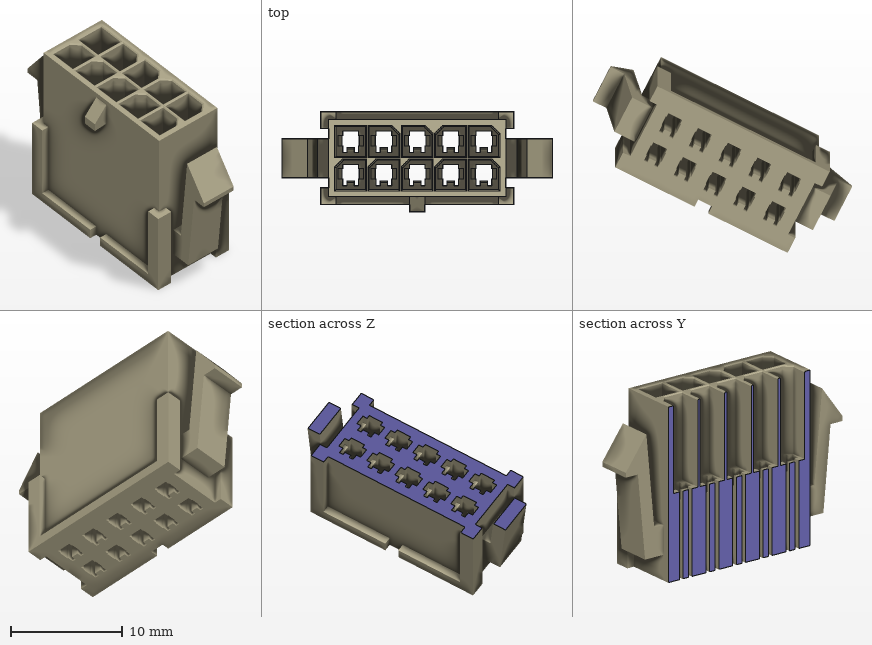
import cadquery as cq

body_width = 15.92
body_depth = 6.92
body_height = 16.9

rail_overhang_x = 0.73
rail_overhang_y = 0.73
rail_height = 8.47
rail_face_width = 1.4
rail_side_width = 1.53
bar_height = 1.0
front_gap_width = 1.4

pitch = 3.0
cavity_size = 2.68
lead_in = 0.1
key_leg = 0.73
floor_level = rail_height
UPPER_LEFT = (-1, 1)
UPPER_RIGHT = (1, 1)
key_corners = [
    [UPPER_LEFT, UPPER_LEFT, UPPER_LEFT, UPPER_LEFT, UPPER_RIGHT],
    [None, UPPER_RIGHT, UPPER_RIGHT, UPPER_LEFT, UPPER_RIGHT],
]

passage_width = 1.4
passage_back = 0.93
passage_front = -0.97
side_slot_width = 1.53
side_recess_width = 2.3
side_back = 0.55
side_front = -0.4
tab_width = 0.68
tab_tip = -0.54
tab_step = -0.68
recess_depth = 0.97

half_span = 12.18
latch_depth = 3.53
root_bottom = 2.45
root_top = 5.33
root_outer = 10.0
root_inner = 8.99
arm_outer_top = 10.8
barb_bottom = 10.8
barb_edge_top = 11.27
latch_tip_x = 9.85
latch_tip_z = 14.46

wedge_width = 1.4
wedge_reach = 1.36
wedge_top_drop = 0.5
wedge_edge_drop = 2.05
wedge_tip_drop = 2.85
wedge_root_drop = 2.73


def block(x_range, y_range, z_range):
    """Box spanning the given (low, high) range on each axis."""
    lows, highs = zip(x_range, y_range, z_range)
    size = [high - low for low, high in zip(lows, highs)]
    return cq.Workplane("XY").box(*size, centered=False).translate(lows)


def centred(width):
    """Range of the given width about zero."""
    return (-width / 2, width / 2)


def make_rails():
    """Four L-shaped corner rails with foot bars; the front bar has a gap at its middle."""
    outer_x = body_width / 2 + rail_overhang_x
    outer_y = body_depth / 2 + rail_overhang_y
    frame = block(centred(2 * outer_x), centred(2 * outer_y), (0, rail_height))
    side_opening = block(
        centred(2 * outer_x),
        centred(2 * (outer_y - rail_side_width)),
        (0, rail_height),
    )
    face_opening = block(
        centred(2 * (outer_x - rail_face_width)),
        centred(2 * outer_y),
        (bar_height, rail_height),
    )
    front_gap = block(centred(front_gap_width), (-outer_y, 0), (0, bar_height))
    return frame.cut(side_opening).cut(face_opening).cut(front_gap)


def make_latch():
    """Latch on the +X side; its root runs into the body wall."""
    profile = [
        (body_width / 2, root_bottom),
        (root_outer, root_bottom),
        (arm_outer_top, barb_bottom),
        (half_span, barb_bottom),
        (half_span, barb_edge_top),
        (latch_tip_x, latch_tip_z),
        (root_inner, root_top),
        (body_width / 2, root_top),
    ]
    return cq.Workplane("XZ").polyline(profile).close().extrude(latch_depth / 2, both=True)


def make_wedge():
    """Locking wedge near the top of the front face."""
    front = -body_depth / 2
    profile = [
        (front, body_height - wedge_top_drop),
        (front - wedge_reach, body_height - wedge_edge_drop),
        (front - wedge_reach, body_height - wedge_tip_drop),
        (front, body_height - wedge_root_drop),
    ]
    return cq.Workplane("YZ").polyline(profile).close().extrude(wedge_width / 2, both=True)


def key_outline(size, key_corner):
    """Corners of a square, with the keyed corner replaced by a diagonal."""
    half = size / 2
    points = []
    for side_x, side_y in ((-1, -1), (1, -1), (1, 1), (-1, 1)):
        x = side_x * half
        y = side_y * half
        if (side_x, side_y) != key_corner:
            points.append((x, y))
            continue
        across = (x - side_x * key_leg, y)
        down = (x, y - side_y * key_leg)
        points += [down, across] if side_x == side_y else [across, down]
    return points


def make_cavity(key_corner):
    """Square cavity, cut across its keyed corner, with a bevelled mouth."""
    outline = key_outline(cavity_size, key_corner)
    mouth = key_outline(cavity_size + 2 * lead_in, key_corner)
    depth = body_height - floor_level
    shaft = cq.Workplane("XY", origin=(0, 0, floor_level)).polyline(outline).close().extrude(depth)
    bevel = (
        cq.Workplane("XY", origin=(0, 0, body_height - lead_in))
        .polyline(outline)
        .close()
        .workplane(offset=lead_in)
        .polyline(mouth)
        .close()
        .loft(ruled=True)
    )
    return shaft.union(bevel)


def make_passage():
    """Stepped opening from the cavity floor down through the base."""
    through = (0, floor_level)
    recess = (floor_level - recess_depth, floor_level)
    passage = block(centred(passage_width), (passage_front, passage_back), through)
    tab = block(centred(tab_width), (passage_front, tab_tip), through)
    tab_recess = block(centred(tab_width), (tab_step, tab_tip), recess)
    side_slots = block(centred(side_slot_width), (side_front, side_back), through)
    side_recesses = block(centred(side_recess_width), (side_front, side_back), recess)
    return passage.cut(tab).union(tab_recess).union(side_slots).union(side_recesses)


latch = make_latch()
result = block(centred(body_width), centred(body_depth), (0, body_height))
for feature in (make_rails(), latch, latch.mirror("YZ"), make_wedge()):
    result = result.union(feature)

passage = make_passage()
rows = len(key_corners)
columns = len(key_corners[0])
for row in range(rows):
    for column in range(columns):
        x = (column - (columns - 1) / 2) * pitch
        y = (row - (rows - 1) / 2) * pitch
        terminal = make_cavity(key_corners[row][column]).union(passage)
        result = result.cut(terminal.translate((x, y, 0)))